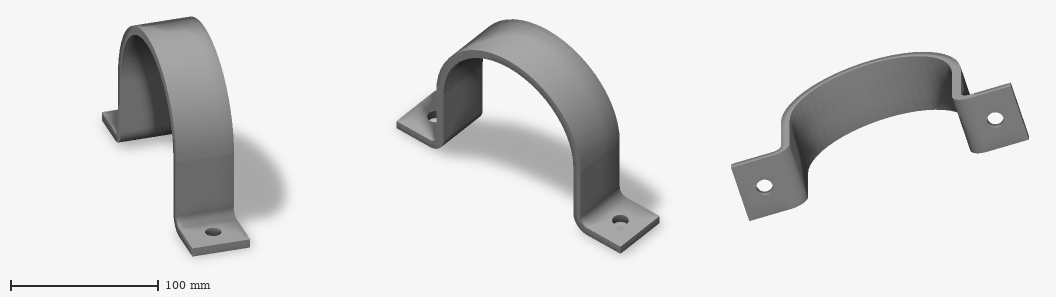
import cadquery as cq

length = 199.2
width = 41.2
height = 118.3
thickness = 6.4
arch_radius = 64.2
bend_radius = 6.0
hole_diameter = 11.4
hole_spacing = 164.4

inner_arch_radius = arch_radius - thickness
outer_bend_radius = bend_radius + thickness
arch_center_z = height - arch_radius


def arch_solid(radius, base_z):
    """Straight-sided arch block standing on base_z, centred on the strip width."""
    return (
        cq.Workplane("XZ")
        .moveTo(-radius, base_z)
        .lineTo(-radius, arch_center_z)
        .threePointArc((0, arch_center_z + radius), (radius, arch_center_z))
        .lineTo(radius, base_z)
        .close()
        .extrude(width / 2, both=True)
    )


base = cq.Workplane("XY").box(length, width, thickness, centered=(True, True, False))
strap = base.union(arch_solid(arch_radius, 0)).cut(arch_solid(inner_arch_radius, 0))


def round_leg_corners(body, leg_x, corner_z, radius):
    """Round the pair of width-wise edges at X = +/-leg_x and Z = corner_z."""
    margin = 0.2
    for x in (-leg_x, leg_x):
        edge_zone = cq.selectors.BoxSelector(
            (x - margin, -width, corner_z - margin),
            (x + margin, width, corner_z + margin),
        )
        body = body.edges("|Y").edges(edge_zone).fillet(radius)
    return body


strap = round_leg_corners(strap, arch_radius, thickness, bend_radius)
strap = round_leg_corners(strap, inner_arch_radius, 0, outer_bend_radius)

holes = (
    cq.Workplane("XY")
    .pushPoints([(-hole_spacing / 2, 0), (hole_spacing / 2, 0)])
    .circle(hole_diameter / 2)
    .extrude(thickness)
)

result = strap.cut(holes)